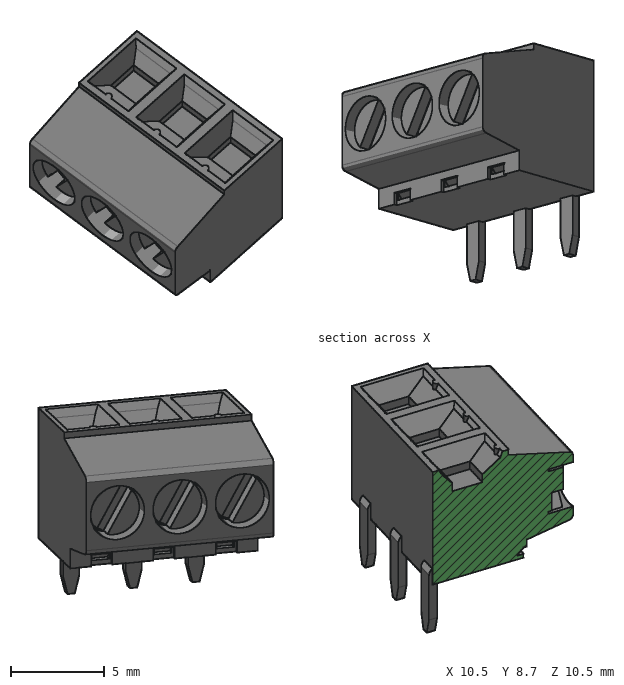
import cadquery as cq
import math


way_count = 3
pitch = 3.5
row_length = 10.5

housing_depth = 8.5
housing_height = 7.3
ridge_depth = 4.6
ridge_step = 0.35
base_depth = 5.7
base_height = 1.1
top_slope = 15.0
under_slope = 10.0
nose_radius = 0.3

screw_height = 3.8
recess_diameter = 3.0
head_diameter = 2.8
head_inset = 0.6
head_thickness = 0.9
slot_width = 0.7
slot_depth = 0.7
slot_angle = 60.0

rim = 0.4
funnel_width = 2.93
throat_width = 1.8
throat_length = 1.8
throat_back_wall = 1.2
funnel_depth = 1.1
back_bend_inset = 0.24
back_bend_depth = 0.44
front_bend_inset = 0.13
front_bend_depth = 0.37
throat_depth = 0.5
rib_radius = 0.2

pin_width = 0.9
pin_thickness = 0.5
pin_overhang = 0.2
pin_length = 3.2
pin_tip_width = 0.4
pin_tip_length = 1.0
pin_bend_height = 1.1
pin_bend_radius = 0.45

window_width = 1.2
window_height = 0.65
window_depth = 0.2
ramp_width = 1.0
ramp_height = 0.38
ramp_depth = 0.38

ridge_front = housing_depth - ridge_depth
base_front = housing_depth - base_depth
way_positions = [(i - (way_count - 1) / 2) * pitch for i in range(way_count)]


def extrude_along_x(profile, width):
    """Extrude a YZ outline symmetrically about X = 0."""
    return profile.extrude(width / 2, both=True)


def housing():
    nose_top = housing_height - ridge_step - ridge_front * math.tan(math.radians(top_slope))
    nose_bottom = base_height + base_front * math.tan(math.radians(under_slope))
    profile = cq.Workplane("YZ").polyline([
        (base_front, 0),
        (housing_depth, 0),
        (housing_depth, housing_height),
        (ridge_front, housing_height),
        (ridge_front, housing_height - ridge_step),
        (0, nose_top),
        (0, nose_bottom),
        (base_front, base_height),
    ]).close()
    return extrude_along_x(profile, row_length).edges("|X and <Y").fillet(nose_radius)


def screw_recess():
    """Round recess with a slotted screw head left standing on its floor."""
    head_face = cq.Workplane("XZ", origin=(0, head_inset, screw_height))
    head = head_face.circle(head_diameter / 2).extrude(-head_thickness)
    slot = (
        head_face.transformed(rotate=(0, 0, slot_angle))
        .rect(recess_diameter, slot_width)
        .extrude(-slot_depth)
    )
    recess = (
        cq.Workplane("XZ", origin=(0, 0, screw_height))
        .circle(recess_diameter / 2)
        .extrude(-head_inset - head_thickness)
    )
    return recess.cut(head.cut(slot))


def wire_funnel():
    """Funnel and square throat, with a half-round rib left standing on the front wall."""
    funnel_front = ridge_front + rim
    funnel_back = housing_depth - rim
    throat_back = housing_depth - throat_back_wall
    throat_front = throat_back - throat_length
    funnel_bottom = housing_height - funnel_depth
    throat_floor = funnel_bottom - throat_depth

    long_profile = cq.Workplane("YZ").polyline([
        (funnel_front, housing_height),
        (funnel_front + front_bend_inset, housing_height - front_bend_depth),
        (throat_front, funnel_bottom),
        (throat_front, throat_floor),
        (throat_back, throat_floor),
        (throat_back, funnel_bottom),
        (funnel_back - back_bend_inset, housing_height - back_bend_depth),
        (funnel_back, housing_height),
    ]).close()
    cross_profile = cq.Workplane("XZ").polyline([
        (-funnel_width / 2, housing_height),
        (-throat_width / 2, funnel_bottom),
        (-throat_width / 2, throat_floor),
        (throat_width / 2, throat_floor),
        (throat_width / 2, funnel_bottom),
        (funnel_width / 2, housing_height),
    ]).close()
    rib = (
        cq.Workplane("XY", origin=(0, funnel_front, throat_floor))
        .circle(rib_radius)
        .extrude(housing_height - throat_floor)
    )
    funnel = extrude_along_x(long_profile, funnel_width)
    return funnel.intersect(cross_profile.extrude(-housing_depth)).cut(rib)


def pin_window():
    """Shallow window in the base with a ramp behind its upper part."""
    window = cq.Workplane("XY", origin=(0, base_front, 0)).box(
        window_width, window_depth, window_height, centered=(True, False, False)
    )
    ramp_front = base_front + window_depth
    ramp_profile = cq.Workplane("YZ").polyline([
        (ramp_front, window_height),
        (ramp_front + ramp_depth, window_height - ramp_height),
        (ramp_front, window_height - ramp_height),
    ]).close()
    return window.union(extrude_along_x(ramp_profile, ramp_width))


def pin():
    """Flat pin with a rounded shoulder and a tip tapered in width."""
    back = housing_depth + pin_overhang
    front = back - pin_thickness
    blade = (
        cq.Workplane("XY", origin=(0, front, -pin_length))
        .box(pin_width, pin_thickness, pin_length + pin_bend_height, centered=(True, False, False))
        .edges("|X and >Y and >Z")
        .fillet(pin_bend_radius)
    )
    outline = cq.Workplane("XZ").polyline([
        (-pin_tip_width / 2, -pin_length),
        (pin_tip_width / 2, -pin_length),
        (pin_width / 2, pin_tip_length - pin_length),
        (pin_width / 2, pin_bend_height),
        (-pin_width / 2, pin_bend_height),
        (-pin_width / 2, pin_tip_length - pin_length),
    ]).close()
    return blade.intersect(outline.extrude(-back))


result = housing()
for x in way_positions:
    for cutter in (screw_recess(), wire_funnel(), pin_window()):
        result = result.cut(cutter.translate((x, 0, 0)))
    result = result.union(pin().translate((x, 0, 0)))